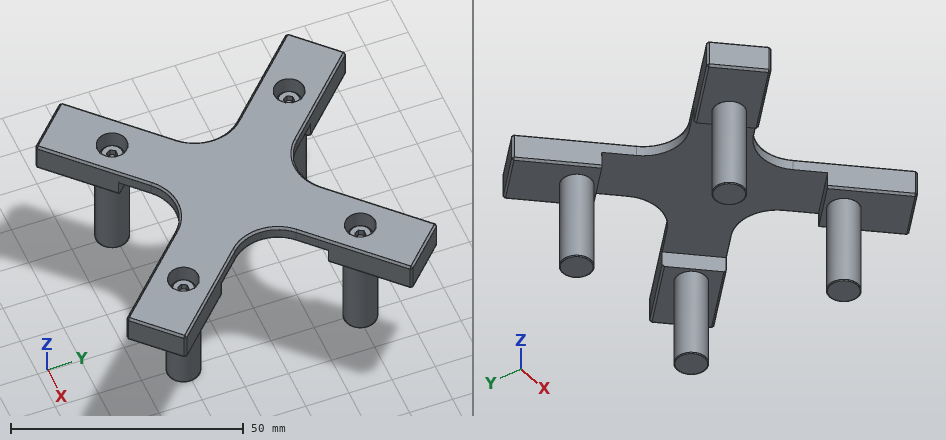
import cadquery as cq
import math


overall_span = 71.4
arm_width = 13.9
pad_thickness = 7.0
web_thickness = 3.0
pad_start = 24.5
inner_corner_radius = 10.0
edge_chamfer = 0.5
arm_reach = overall_span / math.sqrt(2) - arm_width / 2 + edge_chamfer

leg_distance = 29.0
leg_diameter = 7.5
leg_length = 22.8
leg_chamfer = 0.2
counterbore_diameter = 6.8
head_diameter = 5.5
head_top_diameter = 4.7
head_height = 3.0
head_sink = 3.0
clearance_diameter = 4.2
shank_diameter = 3.0
thread_depth = 10.0
socket_sides = 6
socket_diameter = 2.4
socket_depth = 1.4
socket_tip_slope = 30.0

counterbore_depth = head_sink + head_height
head_seat = pad_thickness - counterbore_depth
head_top = head_seat + head_height
head_chamfer = (head_diameter - head_top_diameter) / 2

arm_angles = [45.0 + 90.0 * i for i in range(4)]
leg_places = [
    (leg_distance * math.cos(math.radians(a)), leg_distance * math.sin(math.radians(a)))
    for a in arm_angles
]


def make_plate():
    """Cross-shaped plate, built with its arms along X and Y and then turned onto the diagonals."""
    bar_along_x = cq.Workplane("XY").box(
        2 * arm_reach, arm_width, pad_thickness, centered=(True, True, False)
    )
    cross = bar_along_x.union(bar_along_x.rotate((0, 0, 0), (0, 0, 1), 90))

    middle = cq.selectors.BoxSelector(
        (-arm_width, -arm_width, 0), (arm_width, arm_width, pad_thickness)
    )
    cross = cross.edges("|Z").edges(middle).fillet(inner_corner_radius)
    cross = cross.faces("<X or >X or <Y or >Y or <Z or >Z").edges().chamfer(edge_chamfer)
    cross = cross.rotate((0, 0, 0), (0, 0, 1), arm_angles[0])

    relief = (
        cq.Workplane("XY")
        .rect(2 * pad_start, 2 * pad_start)
        .extrude(pad_thickness - web_thickness)
        .rotate((0, 0, 0), (0, 0, 1), arm_angles[0])
    )
    return (
        cross.cut(relief)
        .faces(">Z")
        .workplane(origin=(0, 0, pad_thickness))
        .pushPoints(leg_places)
        .cboreHole(clearance_diameter, counterbore_diameter, counterbore_depth)
    )


def make_leg(place):
    """Round leg against the pad underside, with a blind hole for the screw shank."""
    leg = (
        cq.Workplane("XY")
        .circle(leg_diameter / 2)
        .extrude(-leg_length)
        .faces("<Z")
        .chamfer(leg_chamfer)
    )
    bore = cq.Workplane("XY").circle(shank_diameter / 2).extrude(-thread_depth)
    return leg.cut(bore).translate((*place, 0))


def make_screw(place):
    """Socket-head screw whose shank fills the hole in the leg."""
    head = (
        cq.Workplane("XY", origin=(0, 0, head_seat))
        .circle(head_diameter / 2)
        .extrude(head_height)
        .faces(">Z")
        .chamfer(head_chamfer)
    )
    shank = (
        cq.Workplane("XY", origin=(0, 0, -thread_depth))
        .circle(shank_diameter / 2)
        .extrude(head_seat + thread_depth)
    )
    socket = (
        cq.Workplane("XY", origin=(0, 0, head_top))
        .polygon(socket_sides, socket_diameter)
        .extrude(-socket_depth)
    )
    tip_radius = socket_diameter / 2 * math.cos(math.pi / socket_sides)
    tip_depth = tip_radius * math.tan(math.radians(socket_tip_slope))
    tip_base = cq.Vector(0, 0, head_top - socket_depth)
    tip = cq.Workplane(cq.Solid.makeCone(tip_radius, 0, tip_depth, pnt=tip_base, dir=cq.Vector(0, 0, -1)))
    return head.union(shank).cut(socket).cut(tip).translate((*place, 0))


plate = make_plate()
legs = [make_leg(place) for place in leg_places]
screws = [make_screw(place) for place in leg_places]

result = cq.Compound.makeCompound(
    [plate.val(), *[leg.val() for leg in legs], *[screw.val() for screw in screws]]
)